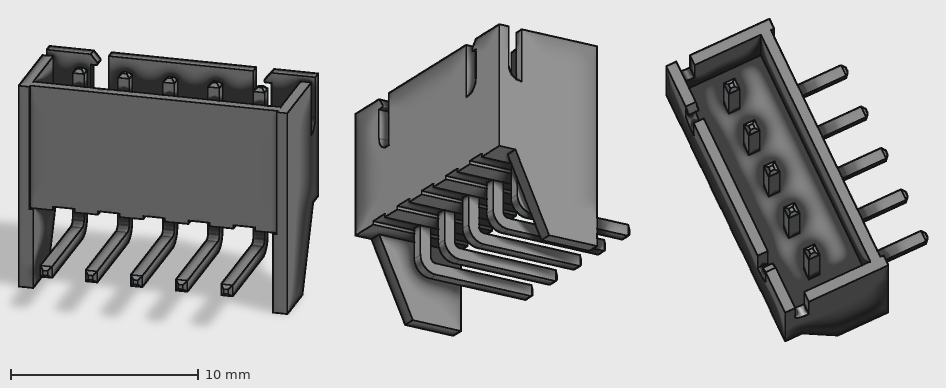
import cadquery as cq


LENGTH = 14.9
DEPTH = 6.1
TOTAL_HEIGHT = 11.5
BODY_HEIGHT = 7.0
BODY_BOTTOM = TOTAL_HEIGHT - BODY_HEIGHT

WALL = 0.6
FRONT_RECESS = 0.2
FLOOR = 2.0

LEG_THICKNESS = 0.8
LEG_FOOT_DEPTH = 3.0
LEG_BACK_SETBACK = 1.0

SLOT_DEPTH = 3.0
SLOT_RADIUS = 0.75
SIDE_SLOT_WIDTH = 0.8
BACK_SLOT_WIDTH = 1.0
POST_WIDTH = 2.45
HOOK_REACH = 0.5
HOOK_HEIGHT = 0.6
HOOK_TIP_RADIUS = 0.1

PIN_COUNT = 5
PITCH = 2.5
PIN_SIZE = 0.64
PIN_Y = -2.71
PIN_TOP = TOTAL_HEIGHT
PIN_BOTTOM = 2.0
PIN_FRONT = -9.5
BEND_INNER_RADIUS = 0.31
TIP_LENGTH = 0.2

NOTCH_WIDTH = 1.2
NOTCH_HEIGHT = 0.2

PIN_XS = [(i - (PIN_COUNT - 1) / 2) * PITCH for i in range(PIN_COUNT)]


def block(x_min, x_max, y_min, y_max, z_min, z_max):
    """Box given by its limits along each axis."""
    size = (x_max - x_min, y_max - y_min, z_max - z_min)
    return cq.Workplane("XY").box(*size, centered=False).translate((x_min, y_min, z_min))


def side_plate(side, thickness, outline):
    """Plate with a Y-Z outline, its outer face at the end of the housing on the given side."""
    x_min = -LENGTH / 2 if side < 0 else LENGTH / 2 - thickness
    return cq.Workplane("YZ").polyline(outline).close().extrude(thickness).translate((x_min, 0, 0))


def shell():
    """Open-topped box, with end walls that stand proud of the recessed front wall."""
    half = LENGTH / 2
    body = block(-half, half, -DEPTH, 0, BODY_BOTTOM, TOTAL_HEIGHT)
    recess_half = half - WALL
    recess = block(-recess_half, recess_half, -DEPTH, FRONT_RECESS - DEPTH, BODY_BOTTOM, TOTAL_HEIGHT)
    cavity = block(-recess_half, recess_half, FRONT_RECESS + WALL - DEPTH, -WALL,
                   BODY_BOTTOM + FLOOR, TOTAL_HEIGHT)
    return body.cut(recess).cut(cavity)


def leg(side):
    """Leg below one end wall, with a slanted back edge."""
    outline = [
        (-DEPTH, 0),
        (LEG_FOOT_DEPTH - DEPTH, 0),
        (-LEG_BACK_SETBACK, BODY_BOTTOM),
        (-DEPTH, BODY_BOTTOM),
    ]
    return side_plate(side, LEG_THICKNESS, outline)


def slot_profile(plane, start, width):
    """Slot open at the top, running in the plane's first direction from the post at start.

    The bottom corner next to the post is rounded; a negative width runs backward.
    """
    direction = 1 if width > 0 else -1
    bottom = TOTAL_HEIGHT - SLOT_DEPTH
    return (
        cq.Workplane(plane)
        .moveTo(start, TOTAL_HEIGHT)
        .lineTo(start, bottom + SLOT_RADIUS)
        .tangentArcPoint((start + direction * SLOT_RADIUS, bottom), relative=False)
        .lineTo(start + width, bottom)
        .lineTo(start + width, TOTAL_HEIGHT)
        .close()
    )


def side_slots():
    """Slot through both end walls, just in front of the back wall."""
    return slot_profile("YZ", -WALL, -SIDE_SLOT_WIDTH).extrude(LENGTH / 2, both=True)


def back_slot(side):
    """Slot through the back wall on one side, next to the corner post."""
    post_edge = side * (LENGTH / 2 - POST_WIDTH)
    return slot_profile("XZ", post_edge, -side * BACK_SLOT_WIDTH).extrude(WALL)


def hook(side):
    """Round-tipped wedge that reaches from the top of a corner post over the back slot."""
    post_edge = side * (LENGTH / 2 - POST_WIDTH)
    underside = TOTAL_HEIGHT - HOOK_HEIGHT
    outline = [
        (post_edge, TOTAL_HEIGHT),
        (post_edge - side * HOOK_REACH, underside),
        (post_edge, underside),
    ]
    wedge = cq.Workplane("XZ").polyline(outline).close().extrude(WALL)
    tip_edge = "|Y and <X" if side > 0 else "|Y and >X"
    return wedge.edges(tip_edge).fillet(HOOK_TIP_RADIUS)


def notch(x):
    """Shallow groove across the underside of the housing at one pin."""
    half = NOTCH_WIDTH / 2
    return block(x - half, x + half, -DEPTH, 0, BODY_BOTTOM, BODY_BOTTOM + NOTCH_HEIGHT)


def pin(x):
    """Square pin bent through a right angle, with both ends tapered."""
    half = PIN_SIZE / 2
    front_face = PIN_Y - half
    back_face = PIN_Y + half
    upper_face = PIN_BOTTOM + PIN_SIZE
    outer_radius = BEND_INNER_RADIUS + PIN_SIZE
    return (
        cq.Workplane("YZ")
        .moveTo(PIN_FRONT, PIN_BOTTOM)
        .lineTo(back_face - outer_radius, PIN_BOTTOM)
        .tangentArcPoint((back_face, PIN_BOTTOM + outer_radius), relative=False)
        .lineTo(back_face, PIN_TOP)
        .lineTo(front_face, PIN_TOP)
        .lineTo(front_face, upper_face + BEND_INNER_RADIUS)
        .tangentArcPoint((front_face - BEND_INNER_RADIUS, upper_face), relative=False)
        .lineTo(PIN_FRONT, upper_face)
        .close()
        .extrude(half, both=True)
        .faces("<Y or >Z")
        .chamfer(TIP_LENGTH)
        .translate((x, 0, 0))
    )


def make_housing(pins):
    """Housing with its legs, slots, hooks and notches, and a matching hole for each pin."""
    housing = shell().cut(side_slots())
    for side in (-1, 1):
        housing = housing.union(leg(side)).cut(back_slot(side)).union(hook(side))
    for x in PIN_XS:
        housing = housing.cut(notch(x))
    for one_pin in pins:
        housing = housing.cut(one_pin)
    return housing


pins = [pin(x) for x in PIN_XS]
housing = make_housing(pins)

result = cq.Compound.makeCompound([housing.val(), *[one_pin.val() for one_pin in pins]])